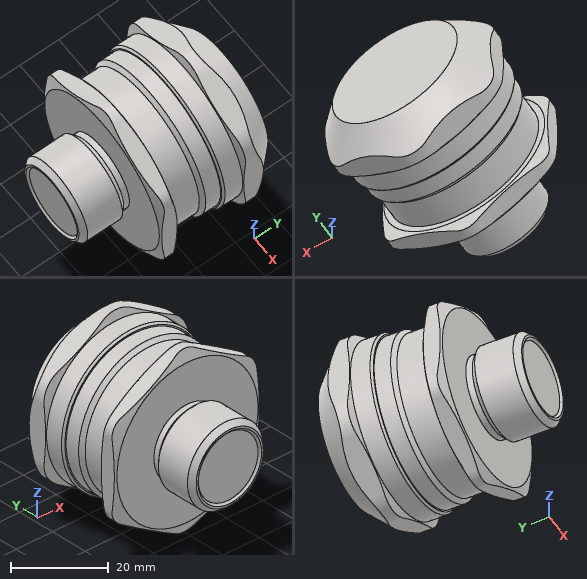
import cadquery as cq
import math


ACROSS_FLATS = 40.0
FLANGE_CORNER_RADIUS = 5.0
CAP_CORNER_RADIUS = 8.0
HEX_CHAMFER_ANGLE = 20.0
SHARP_CORNER_RADIUS = ACROSS_FLATS / 2 / math.cos(math.radians(30))

THREAD_DIAMETER = 20.95
NECK_DIAMETER = 18.55
BORE_DIAMETER = 16.45
BORE_MOUTH_DIAMETER = 17.5
FLANGE_FACE_DIAMETER = 38.9
BODY_DIAMETER = 36.0
STEP_DIAMETER = 37.9
COLLAR_DIAMETER = 39.58
CAP_END_DIAMETER = 30.2

THREAD_END_LENGTH = 12.97
NECK_LENGTH = 1.49
FLANGE_THICKNESS = 4.38
BODY_LENGTH = 6.97
STEP_LENGTH = 4.78
COLLAR_LENGTH = 5.05
COLLAR_CHAMFER = 0.5
CAP_LENGTH = 10.07
THREAD_TIP_LENGTH = 1.35

FLANGE_BACK = FLANGE_THICKNESS
STEP_FRONT = FLANGE_BACK + BODY_LENGTH
COLLAR_FRONT = STEP_FRONT + STEP_LENGTH
CAP_FRONT = COLLAR_FRONT + COLLAR_LENGTH
CAP_BACK = CAP_FRONT + CAP_LENGTH


def revolve_profile(points):
    """Turn (radius, y) points, closed along the axis, into a solid around Y."""
    axis_points = [(0, points[0][1])] + points + [(0, points[-1][1])]
    return cq.Workplane("XY").polyline(axis_points).close().revolve(360, (0, 0, 0), (0, 1, 0))


def rounded_hexagon(y_start, length, corner_radius):
    """Hexagonal prism along +Y with rounded edges and corners on +Z and -Z."""
    prism = (
        cq.Workplane("XZ", origin=(0, y_start, 0))
        .transformed(rotate=(0, 0, 90))
        .polygon(6, 2 * SHARP_CORNER_RADIUS)
        .extrude(-length)
    )
    return prism.edges("|Y").fillet(corner_radius)


def hex_chamfer_depth(inner_radius, outer_radius):
    """Axial length of the shallow hexagon chamfer between two radii."""
    return (outer_radius - inner_radius) * math.tan(math.radians(HEX_CHAMFER_ANGLE))


def make_flange():
    face_radius = FLANGE_FACE_DIAMETER / 2
    depth = hex_chamfer_depth(face_radius, SHARP_CORNER_RADIUS)
    envelope = revolve_profile([
        (face_radius, 0),
        (SHARP_CORNER_RADIUS, depth),
        (SHARP_CORNER_RADIUS, FLANGE_BACK - depth),
        (face_radius, FLANGE_BACK),
    ])
    return rounded_hexagon(0, FLANGE_THICKNESS, FLANGE_CORNER_RADIUS).intersect(envelope)


def make_cap():
    front_radius = COLLAR_DIAMETER / 2
    end_radius = CAP_END_DIAMETER / 2
    cone_length = SHARP_CORNER_RADIUS - end_radius
    envelope = revolve_profile([
        (front_radius, CAP_FRONT),
        (SHARP_CORNER_RADIUS, CAP_FRONT + hex_chamfer_depth(front_radius, SHARP_CORNER_RADIUS)),
        (SHARP_CORNER_RADIUS, CAP_BACK - cone_length),
        (end_radius, CAP_BACK),
    ])
    return rounded_hexagon(CAP_FRONT, CAP_LENGTH, CAP_CORNER_RADIUS).intersect(envelope)


def make_body():
    """Stepped round body between the flange and the cap."""
    body_radius = BODY_DIAMETER / 2
    step_radius = STEP_DIAMETER / 2
    collar_radius = COLLAR_DIAMETER / 2
    step_chamfer = step_radius - body_radius
    return revolve_profile([
        (body_radius, FLANGE_BACK),
        (body_radius, STEP_FRONT),
        (step_radius, STEP_FRONT + step_chamfer),
        (step_radius, COLLAR_FRONT),
        (collar_radius - COLLAR_CHAMFER, COLLAR_FRONT),
        (collar_radius, COLLAR_FRONT + COLLAR_CHAMFER),
        (collar_radius, CAP_FRONT),
    ])


def make_thread_end():
    """Plain thread cylinder with an undercut neck, a tip chamfer and a shallow recess."""
    neck_radius = NECK_DIAMETER / 2
    thread_radius = THREAD_DIAMETER / 2
    tip = -THREAD_END_LENGTH
    thread_chamfer = thread_radius - neck_radius
    spigot = revolve_profile([
        (neck_radius, tip),
        (thread_radius, tip + THREAD_TIP_LENGTH),
        (thread_radius, -NECK_LENGTH - thread_chamfer),
        (neck_radius, -NECK_LENGTH),
        (neck_radius, 0),
    ])
    mouth_depth = (BORE_MOUTH_DIAMETER - BORE_DIAMETER) / 2
    recess = revolve_profile([
        (BORE_MOUTH_DIAMETER / 2, tip),
        (BORE_DIAMETER / 2, tip + mouth_depth),
    ])
    return spigot.cut(recess)


result = make_body().union(make_flange()).union(make_cap()).union(make_thread_end())